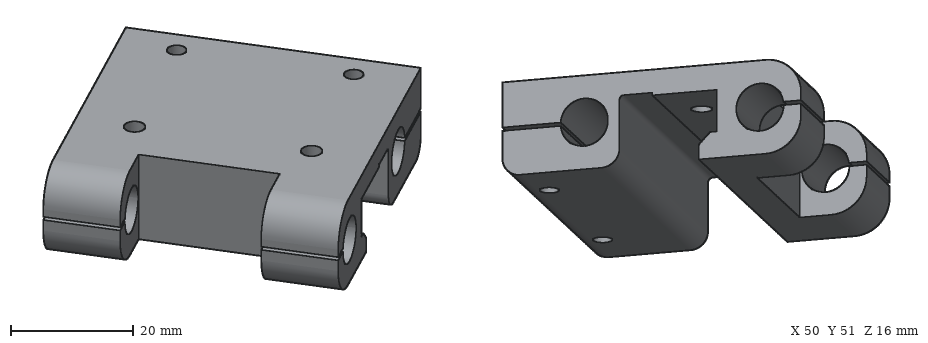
import cadquery as cq

width = 50.0
length = 51.0
height = 16.0

bore_diameter = 8.1
bore_z = height / 2
back_bore_y = length - 14.0
bore_spacing = 30.0
front_bore_y = back_bore_y - bore_spacing
slit_thickness = 0.6
back_slit_bottom = bore_z - slit_thickness / 2
front_slit_bottom = bore_z

front_radius = 6.0
back_block_radius = 3.0

channel_back_y = length - 20.0
channel_front_y = length - 36.6
channel_step_y = length - 25.6
deep_roof_z = 12.05
shallow_roof_z = 11.6
roof_fillet = 0.75

hook_tip_y = length - 33.55
hook_top_z = 4.5
hook_ledge = 1.1
hook_chamfer = hook_tip_y - channel_front_y - hook_ledge

gap_width = 23.9
front_wall = 3.0
gap_depth = channel_front_y - front_wall

hole_spacing_x = 30.0
back_hole_y = length - 5.0
front_hole_y = length - 31.0
back_hole_diameter = 3.2
front_hole_diameter = 3.5


def extrude_across(sketch):
    """Extrude a YZ sketch over the full width, centred on X = 0."""
    return sketch.extrude(width / 2, both=True)


def make_body():
    profile = (
        cq.Workplane("YZ")
        .moveTo(front_radius, height)
        .lineTo(length, height)
        .lineTo(length, back_block_radius)
        .radiusArc((length - back_block_radius, 0), back_block_radius)
        .lineTo(channel_back_y + back_block_radius, 0)
        .radiusArc((channel_back_y, back_block_radius), back_block_radius)
        .lineTo(channel_back_y, deep_roof_z - roof_fillet)
        .radiusArc((channel_back_y - roof_fillet, deep_roof_z), -roof_fillet)
        .lineTo(channel_step_y, deep_roof_z)
        .lineTo(channel_step_y, shallow_roof_z)
        .lineTo(channel_front_y, shallow_roof_z)
        .lineTo(channel_front_y, hook_top_z)
        .lineTo(channel_front_y + hook_ledge, hook_top_z)
        .lineTo(hook_tip_y, hook_top_z - hook_chamfer)
        .lineTo(hook_tip_y, 0)
        .lineTo(front_radius, 0)
        .radiusArc((0, front_radius), front_radius)
        .lineTo(0, height - front_radius)
        .radiusArc((front_radius, height), front_radius)
        .close()
    )
    return extrude_across(profile)


def make_bore(y):
    return extrude_across(cq.Workplane("YZ").center(y, bore_z).circle(bore_diameter / 2))


def make_slit(start_y, end_y, bottom_z):
    box = cq.Workplane("XY").box(width, end_y - start_y, slit_thickness, centered=(True, False, False))
    return box.translate((0, start_y, bottom_z))


def make_gap():
    return cq.Workplane("XY").box(gap_width, gap_depth, height, centered=(True, False, False))


def make_hole_pair(y, diameter):
    centres = [(side * hole_spacing_x / 2, y) for side in (-1, 1)]
    return cq.Workplane("XY").pushPoints(centres).circle(diameter / 2).extrude(height)


result = (
    make_body()
    .cut(make_bore(back_bore_y))
    .cut(make_bore(front_bore_y))
    .cut(make_slit(back_bore_y, length, back_slit_bottom))
    .cut(make_slit(0, front_bore_y, front_slit_bottom))
    .cut(make_gap())
    .cut(make_hole_pair(back_hole_y, back_hole_diameter))
    .cut(make_hole_pair(front_hole_y, front_hole_diameter))
)